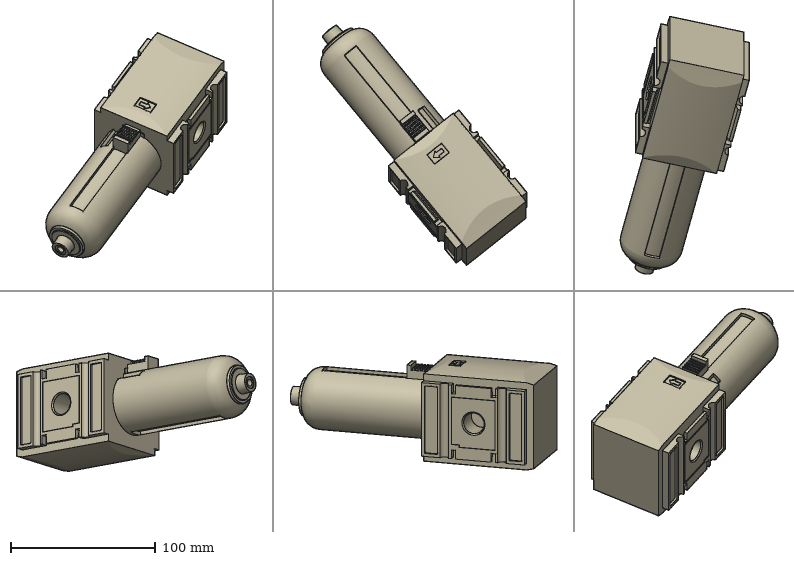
import cadquery as cq
import math


overall_length = 183.5

housing_length = 80.0
core_half_width = 26.5
core_edge_height = 31.4
core_crown_height = 33.5
back_rim_length = 5.1
back_rim_height = 30.1
crown_slope_length = 8.3

plate_half_height = 26.5
overall_width = 63.0
plate_outer_x = overall_width / 2
plate_length = housing_length - back_rim_length

clamp_groove_radius = 3.1
clamp_groove_positions = (16.5, 58.5)

slot_half_height = 24.2
slot_depth = 1.7
slot_corner_radius = 1.0
slot_ranges = ((2.2, 11.7), (63.7, 72.8))

notch_start = 21.7
notch_end = 54.0
notch_floor_height = 20.2
tooth_start = 24.5
tooth_end = 50.5
tooth_tip_thickness = 2.2
tooth_root_thickness = 4.0

panel_end = 53.4
panel_half_height = 17.8
panel_depth = 0.5
panel_step_length = 5.7
panel_step_height = 1.7

port_y = 37.6
port_diameter = 14.9
port_mouth_diameter = 16.7
port_chamfer = (port_mouth_diameter - port_diameter) / 2
port_depth = 18.4

badge_y = 16.0
badge_width = 12.8
badge_length = 8.5
badge_floor_height = 32.5
badge_cut_height = core_crown_height - badge_floor_height
arrow_height = 0.5
arrow_half_length = 4.2
arrow_neck_x = 0.5
arrow_half_shaft = 1.5
arrow_half_head = 3.0

bowl_gap = 0.5
bowl_radius = 43.9 / 2
bowl_end = 82.2
dome_radius = 11.7
collar_start = 93.4
collar_taper_start = 94.3
collar_end = 95.2
collar_radius = 27.0 / 2
collar_face_radius = 13.2
disc_end = 96.0
disc_base_radius = 23.0 / 2
disc_radius = 22.0 / 2
stem_root_radius = 7.0
stem_tip_radius = 6.5
stem_end = overall_length - housing_length
drain_diameter = 5.0
drain_depth = 5.5
drain_mouth_diameter = 8.6
drain_seat_diameter = 8.0
drain_seat_depth = 0.5

recess_floor_radius = 19.5
window_half_width = 5.3
window_start = 3.7
window_end = 80.7

latch_half_width = 5.9
latch_start = 1.1
latch_end = 18.9
latch_height = 27.2
latch_stop_height = 30.6
latch_stop_length = 3.0
ridge_height = 28.8
ridge_width = 1.1
ridge_pitch = 2.4
ridge_first = 4.2
ridge_count = 5

tab_half_width = 8.6
tab_radius = 25.3

notch_wall_x = -10.1
notch_lower_angle = 136.5


def block(x_range, y_range, z_range):
    """A box given by its limits along each axis."""
    size = [high - low for low, high in (x_range, y_range, z_range)]
    corner = (x_range[0], y_range[0], z_range[0])
    return cq.Workplane("XY").box(*size, centered=False).translate(corner)


def along_bowl(start):
    """A sketch plane across the bowl axis at a distance in front of the housing, facing -Y."""
    return cq.Workplane("XZ", origin=(0, -start, 0))


def housing_core():
    """A block with arched top and bottom, trimmed by sloped flats at both ends."""
    arch = (
        cq.Workplane("XZ")
        .moveTo(-core_half_width, -core_edge_height)
        .threePointArc((0, -core_crown_height), (core_half_width, -core_edge_height))
        .lineTo(core_half_width, core_edge_height)
        .threePointArc((0, core_crown_height), (-core_half_width, core_edge_height))
        .close()
        .extrude(-housing_length)
    )
    upper_side = [
        (0, core_edge_height),
        (crown_slope_length, core_crown_height),
        (plate_length - crown_slope_length, core_crown_height),
        (plate_length, core_edge_height),
        (housing_length, back_rim_height),
    ]
    lower_side = [(y, -z) for y, z in reversed(upper_side)]
    side_outline = (
        cq.Workplane("YZ")
        .polyline(upper_side + lower_side)
        .close()
        .extrude(core_half_width, both=True)
    )
    return arch.intersect(side_outline)


def notch_with_tooth():
    """Cutter for the notch at the upper end of the -X plate, leaving its undercut tooth."""
    notch = block(
        (-plate_outer_x, -core_half_width),
        (notch_start, notch_end),
        (notch_floor_height, plate_half_height),
    )
    tooth = (
        cq.Workplane("XZ", origin=(0, tooth_start, 0))
        .polyline([
            (-plate_outer_x, notch_floor_height),
            (-plate_outer_x, plate_half_height),
            (-plate_outer_x + tooth_tip_thickness, plate_half_height),
            (-plate_outer_x + tooth_root_thickness, notch_floor_height),
        ])
        .close()
        .extrude(tooth_start - tooth_end)
    )
    return notch.cut(tooth)


def plate_slot(start, end):
    """Cutter for a shallow round-cornered slot in the -X plate."""
    return (
        block(
            (-plate_outer_x, -plate_outer_x + slot_depth),
            (start, end),
            (-slot_half_height, slot_half_height),
        )
        .edges("|X")
        .fillet(slot_corner_radius)
    )


def port_panel():
    """Cutter for the shallow panel around the port, with a stepped lower front corner."""
    step_y = notch_start + panel_step_length
    step_z = -panel_half_height + panel_step_height
    return (
        cq.Workplane("YZ", origin=(-plate_outer_x, 0, 0))
        .polyline([
            (notch_start, panel_half_height),
            (panel_end, panel_half_height),
            (panel_end, -panel_half_height),
            (step_y, -panel_half_height),
            (step_y, step_z),
            (notch_start, step_z),
        ])
        .close()
        .extrude(panel_depth)
    )


def port():
    """Cutter for the blind port with a chamfered mouth."""
    face_x = -plate_outer_x + panel_depth
    bore = cq.Workplane("YZ", origin=(face_x, port_y, 0)).circle(port_diameter / 2).extrude(port_depth)
    mouth = (
        cq.Workplane("YZ", origin=(face_x, port_y, 0))
        .circle(port_mouth_diameter / 2)
        .workplane(offset=port_chamfer)
        .circle(port_diameter / 2)
        .loft()
    )
    return bore.union(mouth)


def side_plate():
    """The -X connection plate without its port."""
    plate = block(
        (-plate_outer_x, -core_half_width),
        (0, plate_length),
        (-plate_half_height, plate_half_height),
    )
    grooves = (
        cq.Workplane("XY", origin=(0, 0, -plate_half_height))
        .pushPoints([(-plate_outer_x, y) for y in clamp_groove_positions])
        .circle(clamp_groove_radius)
        .extrude(2 * plate_half_height)
    )
    upper_notch = notch_with_tooth()
    plate = plate.cut(grooves).cut(upper_notch).cut(upper_notch.mirror("XY")).cut(port_panel())
    for start, end in slot_ranges:
        plate = plate.cut(plate_slot(start, end))
    return plate


def flow_badge():
    """Cutter for the rectangular pocket in the top face, leaving a raised flow arrow."""
    floor = cq.Workplane("XY", origin=(0, badge_y, badge_floor_height))
    pocket = floor.rect(badge_width, badge_length).extrude(badge_cut_height)
    arrow = (
        floor.polyline([
            (-arrow_half_length, -arrow_half_shaft),
            (arrow_neck_x, -arrow_half_shaft),
            (arrow_neck_x, -arrow_half_head),
            (arrow_half_length, 0),
            (arrow_neck_x, arrow_half_head),
            (arrow_neck_x, arrow_half_shaft),
            (-arrow_half_length, arrow_half_shaft),
        ])
        .close()
        .extrude(arrow_height)
    )
    return pocket.cut(arrow)


def make_housing():
    plate = side_plate()
    body = housing_core().union(plate).union(plate.mirror("YZ"))
    return body.cut(port()).cut(port().mirror("YZ")).cut(flow_badge())


def bowl_turned():
    """The round bowl with its rounded end, stepped collar and tapered drain stem."""
    arc_centre_radius = bowl_radius - dome_radius
    end_angle = math.asin((collar_start - bowl_end) / dome_radius)

    def dome_point(angle):
        return (
            arc_centre_radius + dome_radius * math.cos(angle),
            -bowl_end - dome_radius * math.sin(angle),
        )

    return (
        cq.Workplane("XY")
        .moveTo(0, -bowl_gap)
        .lineTo(bowl_radius, -bowl_gap)
        .lineTo(bowl_radius, -bowl_end)
        .threePointArc(dome_point(end_angle / 2), dome_point(end_angle))
        .lineTo(collar_radius, -collar_start)
        .lineTo(collar_radius, -collar_taper_start)
        .lineTo(collar_face_radius, -collar_end)
        .lineTo(disc_base_radius, -collar_end)
        .lineTo(disc_radius, -disc_end)
        .lineTo(stem_root_radius, -disc_end)
        .lineTo(stem_tip_radius, -stem_end)
        .lineTo(0, -stem_end)
        .close()
        .revolve(360, (0, 0, 0), (0, 1, 0))
    )


def drain():
    """Cutter for the drain hole with a tapered seat at its mouth."""
    hole = along_bowl(stem_end).circle(drain_diameter / 2).extrude(-drain_depth)
    seat = (
        along_bowl(stem_end)
        .circle(drain_mouth_diameter / 2)
        .workplane(offset=-drain_seat_depth)
        .circle(drain_seat_diameter / 2)
        .loft()
    )
    return hole.union(seat)


def recess_ring(start, end):
    """The layer of the bowl wall that recesses may be cut from."""
    return along_bowl(start).circle(bowl_radius).circle(recess_floor_radius).extrude(end - start)


def windows():
    """Cutter for the long curved-floor recesses on the top and bottom of the bowl."""
    strip = block(
        (-window_half_width, window_half_width),
        (-window_end, -window_start),
        (-bowl_radius, bowl_radius),
    )
    return recess_ring(window_start, window_end).intersect(strip)


def release_notch():
    """Cutter for the recess beside the latch: one upright wall and one radial wall."""
    wall_slope = math.tan(math.radians(notch_lower_angle))
    wedge = (
        along_bowl(bowl_gap)
        .polyline([
            (notch_wall_x, notch_wall_x * wall_slope),
            (notch_wall_x, bowl_radius),
            (-bowl_radius, bowl_radius),
            (-bowl_radius, -bowl_radius * wall_slope),
        ])
        .close()
        .extrude(latch_end - bowl_gap)
    )
    return recess_ring(bowl_gap, latch_end).intersect(wedge)


def latch():
    """The ribbed thumb latch on the top of the bowl, with its end stop."""
    width = (-latch_half_width, latch_half_width)
    body = block(width, (-latch_end, -latch_start), (0, latch_height))
    stop = block(width, (-latch_end, latch_stop_length - latch_end), (0, latch_stop_height))
    body = body.union(stop)
    for index in range(ridge_count):
        ridge_start = ridge_first + index * ridge_pitch
        ridge = block(width, (-ridge_start - ridge_width, -ridge_start), (0, ridge_height))
        body = body.union(ridge)
    return body


def latch_tab():
    """The thin arched tab between the latch and the housing."""
    strip = block((-tab_half_width, tab_half_width), (-latch_start, -bowl_gap), (0, tab_radius))
    return along_bowl(bowl_gap).circle(tab_radius).extrude(latch_start - bowl_gap).intersect(strip)


def make_bowl():
    body = bowl_turned().cut(windows()).cut(release_notch()).cut(drain())
    return body.union(latch()).union(latch_tab())


housing = make_housing()
bowl = make_bowl()
result = cq.Compound.makeCompound([housing.val(), bowl.val()])